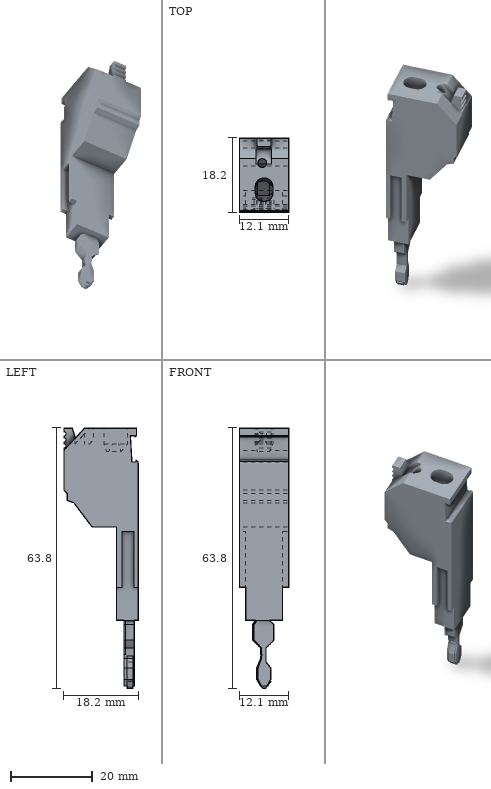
import cadquery as cq

WIDTH = 12.1
DEPTH = 18.25
HEIGHT = 63.8

STEM_DEPTH = 5.35
HEAD_BOTTOM = 39.55
SHOULDER_Z = 24.75
STEM_BOTTOM = 16.65
SIDE_STEP = 1.5
GROOVE_TOP = 38.4
GROOVE_FRONT = 1.1
GROOVE_BACK = 4.0

SLOPE_TOP_Y = 13.2
SLOPE_BOTTOM_Z = 58.4
SLOPE = (HEIGHT - SLOPE_BOTTOM_Z) / (DEPTH - SLOPE_TOP_Y)

TAB_LEFT = -1.8
TAB_RIGHT = 1.65
TAB_FRONT = 15.55
TAB_TOP_FRONT = 16.15
TAB_BEND_Z = 61.9
TAB_ROOT_Z = 57.4
TOOTH_RADIUS = 0.5
TOOTH_PITCH = 1.45
TOOTH_COUNT = 3
TOP_TOOTH_Z = 62.4
POCKET_MARGIN = 0.2
POCKET_TOP_Y = 11.9

HOLE_X = -0.45
HOLE_Y = 12.1
HOLE_RADIUS = 1.1
HOLE_BOTTOM = 60.0

ENTRY_Y = 5.55
ENTRY_WIDTH = 4.4
ENTRY_LENGTH = 5.8
ENTRY_STRAIGHT = 3.8
FUNNEL_HEIGHT = 1.9
FLOOR_LEFT = -1.65
FLOOR_RIGHT = 1.3
FLOOR_FRONT = 4.2
FLOOR_SHOULDER = 7.3
FLOOR_BACK = 7.7

PLATE_FRONT = 0.95
PLATE_BACK = 3.5
RIB_FRONT = 3.1
TONGUE_FRONT = 1.35
TONGUE_BACK = 2.75
PLATE_BOTTOM = 0.5
RIB_BOTTOM = 8.3
TONGUE_TOP = 8.0
NECK_LEFT = -0.65
NECK_RIGHT = 0.5
NECK_TOP = 9.9
NECK_BOTTOM = 7.35
NECK_RIGHT_BOTTOM = 6.45
EDGE_STEP = 0.4
NECK_STEP = 0.2
ROOT_LEFT = -1.8
ROOT_RIGHT = 1.35
UPPER_HALF_WIDTH = 2.4
UPPER_TOP = 15.6
UPPER_BOTTOM = 11.8
LOWER_LEFT = -1.45
LOWER_RIGHT = 1.65
LOWER_TOP = 5.0
LOWER_BOTTOM = 2.2
TIP_HALF_WIDTH = 0.65
TONGUE_TIP_HALF_WIDTH = 0.8
TONGUE_FLANK_BOTTOM = 1.65
EMBED = 0.65


def side_prism(points, x_start, x_end):
    """Extrude a closed (Y, Z) outline along X."""
    sketch = cq.Workplane("YZ").workplane(offset=x_start).polyline(points).close()
    return sketch.extrude(x_end - x_start)


def front_prism(points, y_start, y_end):
    """Extrude a closed (X, Z) outline along Y."""
    sketch = cq.Workplane("XZ").workplane(offset=-y_end).polyline(points).close()
    return sketch.extrude(y_end - y_start)


def block(x_range, y_range, z_range):
    """Axis-aligned box between pairs of limits."""
    size = [end - start for start, end in (x_range, y_range, z_range)]
    corner = (x_range[0], y_range[0], z_range[0])
    return cq.Workplane("XY").box(*size, centered=False).translate(corner)


def make_housing():
    outline = [
        (0, STEM_BOTTOM),
        (0, 55.1),
        (0.05, 55.6),
        (0.6, 55.95),
        (0.6, 55.5),
        (1.5, 55.5),
        (1.9, 61.9),
        (0.75, 61.9),
        (0.75, 61.7),
        (0.4, 61.95),
        (0.4, 62.45),
        (0.45, HEIGHT),
        (SLOPE_TOP_Y, HEIGHT),
        (DEPTH, SLOPE_BOTTOM_Z),
        (DEPTH, 48.6),
        (17.5, 47.8),
        (17.5, 46.05),
        (15.8, 45.5),
        (11.35, HEAD_BOTTOM),
        (STEM_DEPTH, HEAD_BOTTOM),
        (STEM_DEPTH, STEM_BOTTOM),
    ]
    half = WIDTH / 2
    housing = side_prism(outline, -half, half)
    for outer, inner in ((-half, -half + SIDE_STEP), (half, half - SIDE_STEP)):
        x_range = (min(outer, inner), max(outer, inner))
        housing = housing.cut(block(x_range, (0, STEM_DEPTH), (STEM_BOTTOM, SHOULDER_Z)))
        housing = housing.cut(block(x_range, (GROOVE_FRONT, GROOVE_BACK), (SHOULDER_Z, GROOVE_TOP)))
    return housing


def make_pocket():
    """Recess with a floor parallel to the sloping rear corner."""
    floor_end_z = HEIGHT - SLOPE * (TAB_FRONT - POCKET_TOP_Y)
    outline = [(POCKET_TOP_Y, HEIGHT), (TAB_FRONT, floor_end_z), (TAB_FRONT, HEIGHT)]
    return side_prism(outline, TAB_LEFT - POCKET_MARGIN, TAB_RIGHT + POCKET_MARGIN)


def make_tab():
    outline = [
        (TAB_FRONT, TAB_ROOT_Z),
        (TAB_FRONT, TAB_BEND_Z),
        (TAB_TOP_FRONT, HEIGHT),
        (DEPTH, HEIGHT),
        (DEPTH, TAB_ROOT_Z),
    ]
    tab = side_prism(outline, TAB_LEFT, TAB_RIGHT)
    tooth_centres = [(DEPTH, TOP_TOOTH_Z - i * TOOTH_PITCH) for i in range(TOOTH_COUNT)]
    gaps = cq.Workplane("YZ").workplane(offset=TAB_LEFT).pushPoints(tooth_centres)
    return tab.cut(gaps.circle(TOOTH_RADIUS).extrude(TAB_RIGHT - TAB_LEFT))


def make_round_hole():
    """Vertical hole whose bottom is flat behind the pocket edge and ramps up ahead of it."""
    hole_front = HOLE_Y - HOLE_RADIUS
    hole_back = HOLE_Y + HOLE_RADIUS
    outline = [
        (hole_front, HEIGHT),
        (hole_front, HOLE_BOTTOM + SLOPE * (POCKET_TOP_Y - hole_front)),
        (POCKET_TOP_Y, HOLE_BOTTOM),
        (hole_back, HOLE_BOTTOM),
        (hole_back, HEIGHT),
    ]
    envelope = side_prism(outline, HOLE_X - HOLE_RADIUS, HOLE_X + HOLE_RADIUS)
    drill = cq.Workplane("XY").workplane(offset=HOLE_BOTTOM).center(HOLE_X, HOLE_Y)
    return drill.circle(HOLE_RADIUS).extrude(HEIGHT - HOLE_BOTTOM).intersect(envelope)


def draw_entry_slot(plane):
    radius = ENTRY_WIDTH / 2
    end_centre = (ENTRY_LENGTH - ENTRY_WIDTH) / 2
    front = ENTRY_Y - end_centre
    back = ENTRY_Y + end_centre
    return (
        plane.moveTo(-radius, front)
        .threePointArc((0, front - radius), (radius, front))
        .lineTo(radius, back)
        .threePointArc((0, back + radius), (-radius, back))
        .close()
    )


def draw_entry_floor(plane):
    middle = (FLOOR_LEFT + FLOOR_RIGHT) / 2
    return (
        plane.moveTo(FLOOR_LEFT, FLOOR_FRONT)
        .lineTo(FLOOR_RIGHT, FLOOR_FRONT)
        .lineTo(FLOOR_RIGHT, FLOOR_SHOULDER)
        .threePointArc((middle, FLOOR_BACK), (FLOOR_LEFT, FLOOR_SHOULDER))
        .close()
    )


def make_wire_entry():
    top = cq.Workplane("XY").workplane(offset=HEIGHT)
    straight = draw_entry_slot(top).extrude(-ENTRY_STRAIGHT)
    funnel_top = draw_entry_slot(top.workplane(offset=-ENTRY_STRAIGHT))
    funnel = draw_entry_floor(funnel_top.workplane(offset=-FUNNEL_HEIGHT)).loft(ruled=True)
    return straight.union(funnel)


def make_pin():
    pin_top = STEM_BOTTOM + EMBED
    plate_outline = [
        (ROOT_LEFT, pin_top),
        (ROOT_LEFT, STEM_BOTTOM),
        (-UPPER_HALF_WIDTH, UPPER_TOP),
        (-UPPER_HALF_WIDTH, UPPER_BOTTOM),
        (NECK_LEFT, NECK_TOP),
        (NECK_LEFT, NECK_BOTTOM),
        (LOWER_LEFT, LOWER_TOP),
        (LOWER_LEFT, LOWER_BOTTOM),
        (-TIP_HALF_WIDTH, PLATE_BOTTOM),
        (TIP_HALF_WIDTH, PLATE_BOTTOM),
        (LOWER_RIGHT, LOWER_BOTTOM),
        (LOWER_RIGHT, LOWER_TOP),
        (NECK_RIGHT, NECK_RIGHT_BOTTOM),
        (NECK_RIGHT, NECK_TOP),
        (UPPER_HALF_WIDTH, UPPER_BOTTOM),
        (UPPER_HALF_WIDTH, UPPER_TOP),
        (ROOT_RIGHT, STEM_BOTTOM),
        (ROOT_RIGHT, pin_top),
    ]
    rib_outline = [
        (0, pin_top),
        (ROOT_LEFT - EDGE_STEP, pin_top),
        (ROOT_LEFT - EDGE_STEP, STEM_BOTTOM),
        (-UPPER_HALF_WIDTH - EDGE_STEP, UPPER_TOP),
        (-UPPER_HALF_WIDTH - EDGE_STEP, UPPER_BOTTOM),
        (NECK_LEFT - NECK_STEP, NECK_TOP),
        (NECK_LEFT - NECK_STEP, RIB_BOTTOM),
        (0, RIB_BOTTOM),
    ]
    tongue_outline = [
        (0, TONGUE_TOP),
        (NECK_LEFT - NECK_STEP, TONGUE_TOP),
        (NECK_LEFT - NECK_STEP, NECK_BOTTOM),
        (LOWER_LEFT - EDGE_STEP, LOWER_TOP),
        (LOWER_LEFT - EDGE_STEP, LOWER_BOTTOM),
        (-TONGUE_TIP_HALF_WIDTH, PLATE_BOTTOM),
        (PLATE_BOTTOM - TONGUE_TIP_HALF_WIDTH, 0),
        (TONGUE_TIP_HALF_WIDTH - PLATE_BOTTOM, 0),
        (TONGUE_TIP_HALF_WIDTH, PLATE_BOTTOM),
        (LOWER_RIGHT, TONGUE_FLANK_BOTTOM),
        (0, LOWER_BOTTOM),
    ]
    pin = front_prism(plate_outline, PLATE_FRONT, PLATE_BACK)
    pin = pin.union(front_prism(rib_outline, RIB_FRONT, PLATE_BACK))
    return pin.union(front_prism(tongue_outline, TONGUE_FRONT, TONGUE_BACK))


housing = make_housing().cut(make_pocket()).union(make_tab())
housing = housing.cut(make_round_hole()).cut(make_wire_entry())
result = housing.union(make_pin())